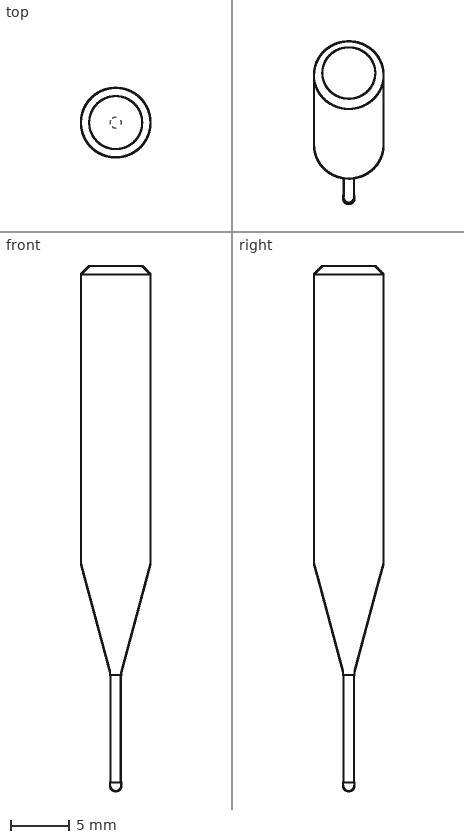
import cadquery as cq
import math

TOTAL_LENGTH = 45.0
SHANK_DIAMETER = 6.0
SHANK_CHAMFER = 0.7
TAPER_TOP_Z = 19.5
TAPER_BOTTOM_Z = 10.2
COLLAR_LENGTH = 0.25
CUTTER_DIAMETER = 1.0
CUTTER_LENGTH = 0.75
NECK_DIAMETER = 0.9

shank_radius = SHANK_DIAMETER / 2
cutter_radius = CUTTER_DIAMETER / 2
neck_radius = NECK_DIAMETER / 2
collar_bottom_z = TAPER_BOTTOM_Z - COLLAR_LENGTH


def make_holder():
    """Chamfered shank, taper, collar and slim neck turned as one solid."""
    return (
        cq.Workplane("XZ")
        .moveTo(0, CUTTER_LENGTH)
        .lineTo(neck_radius, CUTTER_LENGTH)
        .lineTo(neck_radius, collar_bottom_z)
        .lineTo(cutter_radius, collar_bottom_z)
        .lineTo(cutter_radius, TAPER_BOTTOM_Z)
        .lineTo(shank_radius, TAPER_TOP_Z)
        .lineTo(shank_radius, TOTAL_LENGTH - SHANK_CHAMFER)
        .lineTo(shank_radius - SHANK_CHAMFER, TOTAL_LENGTH)
        .lineTo(0, TOTAL_LENGTH)
        .close()
        .revolve(360, (0, 0), (0, 1))
    )


def make_cutter():
    """Short cylindrical cutting head with a hemispherical tip."""
    arc_middle = cutter_radius * math.sin(math.pi / 4)
    return (
        cq.Workplane("XZ")
        .threePointArc((arc_middle, cutter_radius - arc_middle), (cutter_radius, cutter_radius))
        .lineTo(cutter_radius, CUTTER_LENGTH)
        .lineTo(0, CUTTER_LENGTH)
        .close()
        .revolve(360, (0, 0), (0, 1))
    )


holder = make_holder()
cutter = make_cutter()
result = cq.Compound.makeCompound([holder.val(), cutter.val()])